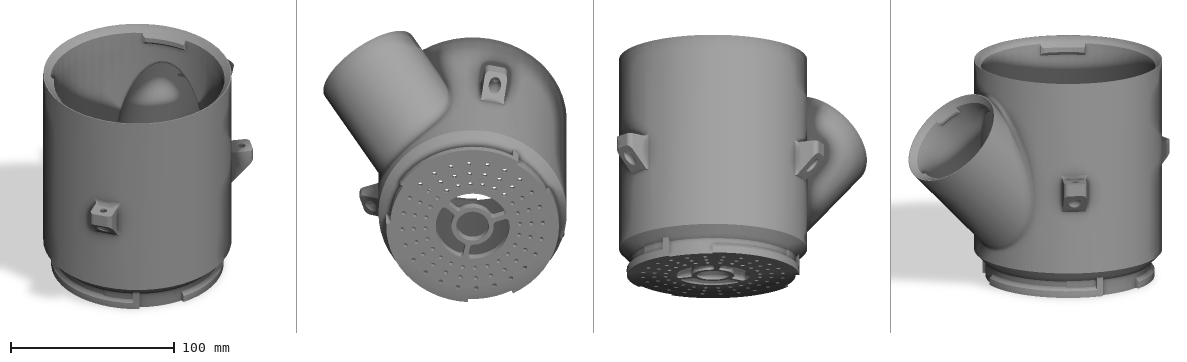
import cadquery as cq
import math

total_height = 136.5
body_radius = 57.5
body_bore_radius = 53.25
shoulder_top = 16.75
neck_radius = 50.5
neck_bore_radius = 46.0
shoulder_bottom = shoulder_top - (body_radius - neck_radius)
rim_land = 0.5
body_wall = body_radius - body_bore_radius

floor_thickness = 3.0
floor_fillet = 1.25
hub_radius = 25.5
hub_height = 2.0
hub_fillet = 1.0
small_hole_diameter = 2.7
small_hole_rings = (29.0, 36.0, 43.0)
small_holes_per_ring = 24
window_outer_radius = 22.5
window_inner_radius = 12.9
window_fillet = 2.0
center_hole_radius = 10.0
spoke_width = 3.0

bayonet_count = 3
bayonet_pitch = 360.0 / bayonet_count
bayonet_angles = [i * bayonet_pitch for i in range(bayonet_count)]
ring_radius = 52.75
ring_slope_top = 6.5
ring_slope_bottom = ring_slope_top - (ring_radius - neck_radius)
ring_start_angle = 201.0
ring_end_angle = 290.0
stop_width_angle = 4.2
bump_height = 0.5
bump_start_angle = 266.0
bump_end_angle = 284.0
bump_ramp_angle = 2.0
tab_angle = 30.0
tab_first_center = 90.0
tab_ramp_length = 1.6
body_tab_depth = 2.25
body_tab_face = 3.0
body_tab_ramp_depth = 1.0
pipe_tab_depth = 1.75
pipe_tab_face = 1.5
pipe_tab_ramp_depth = 0.5

pipe_radius = 32.5
pipe_bore_radius = 28.5
pipe_tilt = 45.0
pipe_length = 121.0
pipe_axis_height = 14.5
pipe_inner_start = 28.0
pipe_fillet = 2.1
pipe_mouth_fillet = 2.5

lug_reach = 71.0
lug_width = 14.0
lug_top = 76.75
lug_tip_height = 7.5
lug_corner_fillet = 3.0
lug_root_fillet = 2.0
lug_hole_diameter = 4.5
lug_counterbore_diameter = 7.5
lug_hole_from_tip = 6.0
lug_counterbore_roof = 4.0
lug_angles = (270.0, 30.0, 150.0)

overlap = 1.0


def revolve_profile(points, start_angle=0.0, sweep=360.0):
    """Revolve (radius, height) points about Z, counter-clockwise from start_angle."""
    solid = cq.Workplane("XZ").polyline(points).close().revolve(sweep, (0, 0, 0), (0, 1, 0))
    return solid.rotate((0, 0, 0), (0, 0, 1), start_angle)


def cylinder(radius, bottom, top):
    return cq.Workplane("XY").workplane(offset=bottom).circle(radius).extrude(top - bottom)


def polar(radius, angle):
    return (radius * math.cos(math.radians(angle)), radius * math.sin(math.radians(angle)))


def union_around(part, solid, angles):
    """Add a copy of solid to part at each rotation about Z."""
    for angle in angles:
        part = part.union(solid.rotate((0, 0, 0), (0, 0, 1), angle))
    return part


def along_pipe(solid):
    """Move a solid built along Z onto the inclined pipe axis."""
    return solid.rotate((0, 0, 0), (1, 0, 0), -pipe_tilt).translate((0, 0, pipe_axis_height))


def make_outer_shell():
    """Solid body with the solid side pipe blended into it."""
    body = cylinder(body_radius, 0, total_height)
    pipe = along_pipe(cylinder(pipe_radius, pipe_inner_start, pipe_length))
    shell = body.union(pipe).edges("%BSPLINE").fillet(pipe_fillet)
    neck_clearance = revolve_profile([
        (neck_radius, 0),
        (neck_radius, shoulder_bottom),
        (body_radius, shoulder_top),
        (body_radius + overlap, shoulder_top),
        (body_radius + overlap, 0),
    ])
    return shell.cut(neck_clearance)


def make_lug():
    """Lug on the +X side, blended into a slice of the body cylinder."""
    tip_bottom = lug_top - lug_tip_height
    root_bottom = tip_bottom - (lug_reach - body_radius)
    slice_bottom = root_bottom - 2 * lug_width
    slice_top = lug_top + lug_width
    core = cylinder(body_radius, slice_bottom, slice_top)
    block = (
        cq.Workplane("XY").workplane(offset=slice_bottom + lug_width)
        .center(lug_reach / 2, 0).rect(lug_reach, lug_width)
        .extrude(lug_top - slice_bottom - lug_width)
        .edges("|Z and >X").fillet(lug_corner_fillet)
    )
    root_zone = cq.selectors.BoxSelector(
        (body_radius - lug_root_fillet, -lug_width, slice_bottom + lug_width + overlap),
        (body_radius + lug_root_fillet, lug_width, lug_top + overlap))
    lug = core.union(block).edges(root_zone).fillet(lug_root_fillet)
    underside = (
        cq.Workplane("XZ").polyline([
            (0, root_bottom),
            (body_radius, root_bottom),
            (lug_reach + overlap, tip_bottom + overlap),
            (lug_reach + overlap, slice_bottom),
            (0, slice_bottom),
        ]).close().extrude(lug_width, both=True)
    )
    lug = lug.cut(underside.cut(core))
    hole_x = lug_reach - lug_hole_from_tip
    bolt_hole = cylinder(lug_hole_diameter / 2, root_bottom, lug_top + overlap)
    counterbore = cylinder(lug_counterbore_diameter / 2, root_bottom, lug_top - lug_counterbore_roof)
    return lug.cut(bolt_hole.union(counterbore).translate((hole_x, 0, 0)))


def make_ring_segment():
    """Bayonet ring segment with its stop post and locking bump."""
    inner = neck_radius - overlap
    segment = revolve_profile([
        (inner, 0),
        (ring_radius, 0),
        (ring_radius, ring_slope_bottom),
        (neck_radius, ring_slope_top),
        (inner, ring_slope_top),
    ], ring_start_angle, ring_end_angle - ring_start_angle)
    stop_top = shoulder_bottom + (ring_radius - neck_radius)
    stop = revolve_profile([
        (inner, 0),
        (ring_radius, 0),
        (ring_radius, stop_top),
        (inner, stop_top),
    ], ring_end_angle - stop_width_angle, stop_width_angle)
    bump_radius = neck_radius + bump_height
    bump_middle_angle = (bump_start_angle + bump_end_angle) / 2
    bump = (
        cq.Workplane("XY").workplane(offset=ring_slope_top - bump_height)
        .moveTo(*polar(inner, bump_start_angle - bump_ramp_angle))
        .lineTo(*polar(neck_radius, bump_start_angle - bump_ramp_angle))
        .lineTo(*polar(bump_radius, bump_start_angle))
        .threePointArc(polar(bump_radius, bump_middle_angle), polar(bump_radius, bump_end_angle))
        .lineTo(*polar(neck_radius, bump_end_angle + bump_ramp_angle))
        .lineTo(*polar(inner, bump_end_angle + bump_ramp_angle))
        .threePointArc(polar(inner, bump_middle_angle), polar(inner, bump_start_angle - bump_ramp_angle))
        .close().extrude(shoulder_bottom - ring_slope_top + 2 * bump_height)
    )
    return segment.union(stop).union(bump)


def make_mouth_cut(outer_radius, top):
    """45-degree cone that opens a socket; it also slopes the upper faces of the tabs."""
    mouth_radius = outer_radius - rim_land
    return revolve_profile([
        (0, top - mouth_radius),
        (mouth_radius, top),
        (mouth_radius, top + overlap),
        (0, top + overlap),
    ])


def make_socket_tab(outer_radius, bore_radius, top, depth, face, ramp_depth):
    """Inward bayonet tab with a lead-in ramp, left full height above for the mouth cone to trim."""
    tip_radius = bore_radius - depth
    tip_top = top - (outer_radius - rim_land - tip_radius)
    tip_bottom = tip_top - face
    root = bore_radius + overlap
    tab = revolve_profile([
        (root, top),
        (tip_radius, top),
        (tip_radius, tip_bottom),
        (bore_radius, tip_bottom - depth),
        (root, tip_bottom - depth),
    ], tab_first_center - tab_angle / 2, tab_angle)
    ramp_angle = math.degrees(tab_ramp_length / tip_radius)
    end_angle = tab_first_center + tab_angle / 2
    ramp = (
        cq.Workplane("XY").workplane(offset=tip_bottom - depth)
        .polyline([
            polar(tip_radius, end_angle - ramp_angle),
            polar(tip_radius + ramp_depth, end_angle),
            polar(tip_radius + ramp_depth, end_angle + ramp_angle),
            polar(tip_radius - overlap, end_angle),
        ]).close().extrude(top - tip_bottom + depth)
    )
    return tab.cut(ramp)


def make_inner_void():
    """Inside of the body and of the side pipe, with the edge where they meet rounded."""
    shoulder_shift = body_wall * math.sqrt(2)
    inner_shoulder_top = shoulder_top - body_radius + body_bore_radius + shoulder_shift
    inner_shoulder_bottom = inner_shoulder_top - (body_bore_radius - neck_bore_radius)
    cavity = revolve_profile([
        (0, floor_thickness),
        (neck_bore_radius, floor_thickness),
        (neck_bore_radius, inner_shoulder_bottom),
        (body_bore_radius, inner_shoulder_top),
        (body_bore_radius, total_height),
        (0, total_height),
    ])
    cavity = cavity.faces("<Z").edges().fillet(floor_fillet)
    pipe_bore = along_pipe(cylinder(pipe_bore_radius, pipe_inner_start, pipe_length))
    return cavity.union(pipe_bore).edges("%BSPLINE").fillet(pipe_mouth_fillet)


def make_hub():
    """Raised disc in the floor, flared at its foot."""
    hub_top = floor_thickness + hub_height
    return (
        cq.Workplane("XZ")
        .moveTo(0, floor_thickness - overlap)
        .lineTo(hub_radius + hub_fillet, floor_thickness - overlap)
        .lineTo(hub_radius + hub_fillet, floor_thickness)
        .radiusArc((hub_radius, floor_thickness + hub_fillet), hub_fillet)
        .lineTo(hub_radius, hub_top)
        .lineTo(0, hub_top)
        .close().revolve(360, (0, 0, 0), (0, 1, 0))
    )


def make_floor_openings():
    """Through cuts: small holes in rings, three windows and the centre hole."""
    top = floor_thickness + hub_height + overlap
    windows = cylinder(window_outer_radius, -overlap, top).cut(
        cylinder(window_inner_radius, -overlap, top))
    spoke = (
        cq.Workplane("XY").workplane(offset=-overlap)
        .center(window_outer_radius / 2 + overlap, 0).rect(window_outer_radius + 2 * overlap, spoke_width)
        .extrude(top + overlap)
    )
    for angle in bayonet_angles:
        windows = windows.cut(spoke.rotate((0, 0, 0), (0, 0, 1), tab_first_center + angle))
    openings = windows.edges("|Z").fillet(window_fillet)
    openings = openings.union(cylinder(center_hole_radius, -overlap, top))
    for ring in small_hole_rings:
        holes = (
            cq.Workplane("XY").workplane(offset=-overlap)
            .polarArray(ring, 0, 360, small_holes_per_ring)
            .circle(small_hole_diameter / 2).extrude(top + overlap)
        )
        openings = openings.union(holes)
    return openings


body_tab = make_socket_tab(
    body_radius, body_bore_radius, total_height, body_tab_depth, body_tab_face, body_tab_ramp_depth)
pipe_tab = make_socket_tab(
    pipe_radius, pipe_bore_radius, pipe_length, pipe_tab_depth, pipe_tab_face, pipe_tab_ramp_depth)

part = make_outer_shell()
part = union_around(part, make_lug(), lug_angles)
part = union_around(part, make_ring_segment(), bayonet_angles)
part = part.cut(make_inner_void())

part = union_around(part, body_tab, bayonet_angles)
part = part.cut(make_mouth_cut(body_radius, total_height))

for tab_rotation in bayonet_angles:
    part = part.union(along_pipe(pipe_tab.rotate((0, 0, 0), (0, 0, 1), tab_rotation)))
part = part.cut(along_pipe(make_mouth_cut(pipe_radius, pipe_length)))

part = part.union(make_hub()).cut(make_floor_openings())

result = part